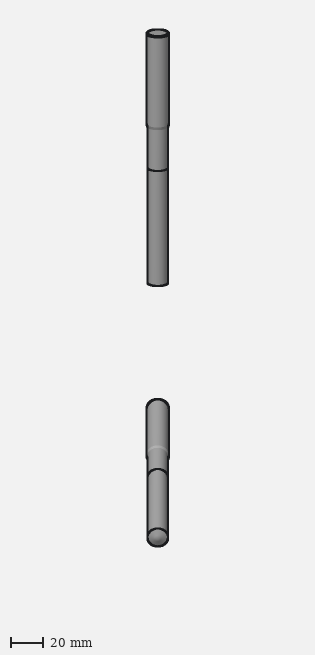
import cadquery as cq

total_length = 167.0
shank_diameter = 14.0
cutter_diameter = 12.9

tip_height = 2.3
cutter_length = 78.2
neck_length = 26.7
shoulder_height = 2.0
end_chamfer = 0.7

shank_radius = shank_diameter / 2
cutter_radius = cutter_diameter / 2
bottom_z = -total_length / 2
top_z = total_length / 2
tip_base_z = bottom_z + tip_height
joint_z = bottom_z + cutter_length
shoulder_start_z = joint_z + neck_length
shoulder_end_z = shoulder_start_z + shoulder_height


def revolve_profile(points):
    """Revolve a closed (radius, height) outline about the Z axis."""
    return (
        cq.Workplane("XZ")
        .polyline(points)
        .close()
        .revolve(360, (0, 0, 0), (0, 1, 0))
    )


def make_cutter():
    """Straight cylindrical lower body with a conical point."""
    return revolve_profile([
        (0, bottom_z),
        (cutter_radius, tip_base_z),
        (cutter_radius, joint_z),
        (0, joint_z),
    ])


def make_shank():
    """Neck, conical shoulder and chamfered cylindrical shank."""
    return revolve_profile([
        (0, joint_z),
        (cutter_radius, joint_z),
        (cutter_radius, shoulder_start_z),
        (shank_radius, shoulder_end_z),
        (shank_radius, top_z - end_chamfer),
        (shank_radius - end_chamfer, top_z),
        (0, top_z),
    ])


cutter = make_cutter()
shank = make_shank()

result = cq.Compound.makeCompound([cutter.val(), shank.val()])